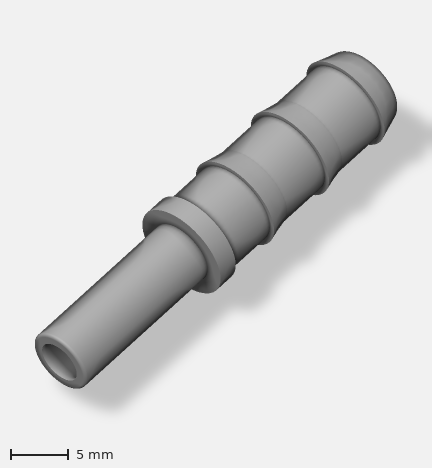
import cadquery as cq

total_length = 40.5
base_y = -total_length / 2
tip_y = total_length / 2

tube_length = 16.0
tube_radius = 3.0
tube_fillet = 0.3

collar_length = 2.0
collar_radius = 4.5

stem_radius = 4.0
barb_radius = collar_radius
barb_length = 2.25
barb_heel_offsets = (23.0, 30.2)

tip_heel_offset = 37.5
tip_end_radius = 3.6
nose_fillet = 0.97

bore_radius = 2.0


def cylinder(radius, start, length):
    """Solid cylinder along +Y starting at the given Y position."""
    return cq.Workplane("XZ", origin=(0, start, 0)).circle(radius).extrude(-length)


def revolve_about_y(profile):
    """Turn a closed XY half profile about the Y axis."""
    return profile.close().revolve(360, (0, 0, 0), (0, 1, 0))


def make_barb(heel_y):
    """Cone that tapers from a sharp heel down to the stem towards the tip."""
    profile = (
        cq.Workplane("XY")
        .moveTo(0, heel_y)
        .lineTo(barb_radius, heel_y)
        .lineTo(stem_radius, heel_y + barb_length)
        .lineTo(0, heel_y + barb_length)
    )
    return revolve_about_y(profile)


def make_tip():
    """Last barb, closing with a rounded nose."""
    heel_y = base_y + tip_heel_offset
    profile = (
        cq.Workplane("XY")
        .moveTo(0, heel_y)
        .lineTo(barb_radius, heel_y)
        .lineTo(tip_end_radius, tip_y)
        .lineTo(0, tip_y)
    )
    return revolve_about_y(profile).faces(">Y").edges().fillet(nose_fillet)


collar_y = base_y + tube_length
stem_y = collar_y + collar_length
stem_length = base_y + tip_heel_offset - stem_y

tube = cylinder(tube_radius, base_y, tube_length).faces("<Y").edges().fillet(tube_fillet)
collar = cylinder(collar_radius, collar_y, collar_length)
stem = cylinder(stem_radius, stem_y, stem_length)

body = tube.union(collar).union(stem).union(make_tip())
for heel_offset in barb_heel_offsets:
    body = body.union(make_barb(base_y + heel_offset))

result = body.cut(cylinder(bore_radius, base_y, total_length))